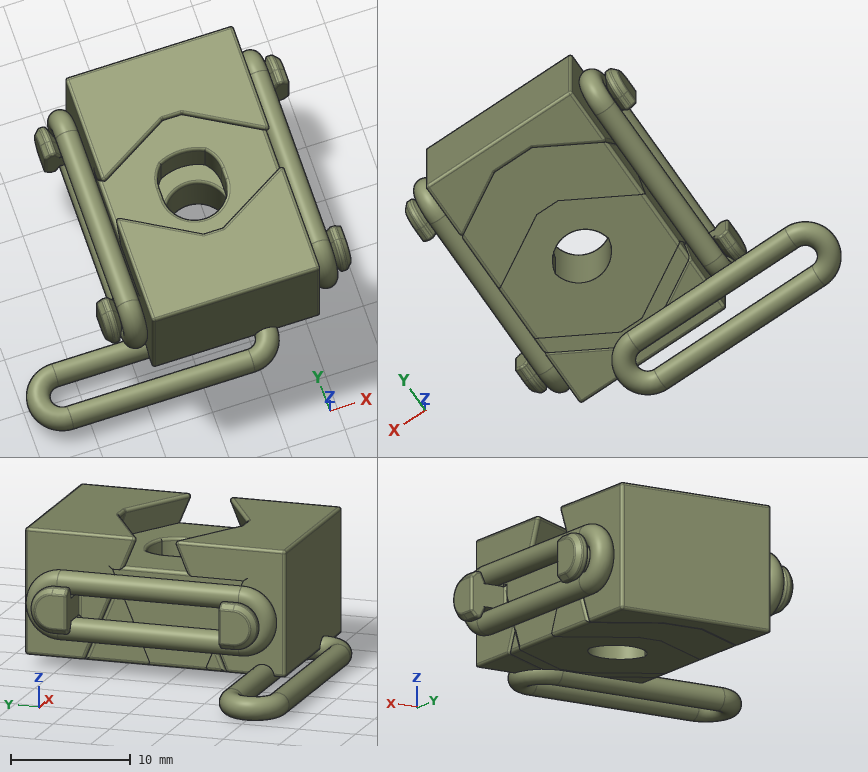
import cadquery as cq
import math

block_length = 14.8
block_width = 23.0
block_height = 11.0
edge_radius = 0.25

wedge_height = 8.4
wedge_half_width = 9.27
wedge_tip_half = 1.9
wedge_end_margin = 5.0
flank_angle = 30.0
draft_angle = 20.0
wedge_edge_radius = 0.3
inverted_shift = -2.0

slot_radius = 2.75
slot_stretch = 1.0
slot_offset = 0.085
slot_rim_radius = 0.25
recess_radius = 4.48
recess_depth = 3.4

wire_radius = 1.0
ring_length = 22.0
ring_width = 6.0
ring_height = 4.9

hook_reach = 3.4
hook_radius = 2.0
hook_neck_radius = ring_width / 2 - 2 * wire_radius
hook_flat = 1.3
hook_chamfer = 0.5
hook_rim = 0.5
hook_cone = 0.5
hook_edge_radius = 0.2

half_length = block_length / 2
half_width = block_width / 2
ring_arc_radius = ring_width / 2 - wire_radius
ring_arc_offset = (ring_length - ring_width) / 2


def drafted_hexagon(height):
    """Hexagonal prism, widest at Z = 0, with its ends beyond the block's end faces."""
    end_x = half_length + wedge_end_margin
    end_y = wedge_half_width - (end_x - wedge_tip_half) * math.tan(math.radians(flank_angle))
    outline = [
        (end_x, -end_y),
        (end_x, end_y),
        (wedge_tip_half, wedge_half_width),
        (-wedge_tip_half, wedge_half_width),
        (-end_x, end_y),
        (-end_x, -end_y),
        (-wedge_tip_half, -wedge_half_width),
        (wedge_tip_half, -wedge_half_width),
    ]
    return cq.Workplane("XY").polyline(outline).close().extrude(height, taper=draft_angle)


def slot(radius, shift, bottom, top):
    """Upright slot, stretched along Y."""
    return (
        cq.Workplane("XY")
        .workplane(offset=bottom)
        .center(0, shift)
        .slot2D(2 * radius + slot_stretch, 2 * radius, 90)
        .extrude(top - bottom)
    )


def round_rim(passage, radius, shift, rim_height):
    """Flare a slot-shaped passage where it opens into the wider space above rim_height."""
    reach = radius + slot_rim_radius
    rim = cq.selectors.BoxSelector(
        (-reach, shift - reach, rim_height - slot_rim_radius),
        (reach, shift + reach, rim_height + slot_rim_radius),
    )
    return passage.edges("|Y or %CIRCLE").edges(rim).fillet(slot_rim_radius)


def open_slot(radius, shift, bottom):
    """Slot with a rounded rim, together with the open space above the wedges."""
    open_space = cq.Workplane("XY", origin=(0, 0, wedge_height)).box(
        block_length, block_width, block_height, centered=(True, True, False)
    )
    passage = slot(radius, shift, bottom, wedge_height).union(open_space)
    return round_rim(passage, radius, shift, wedge_height)


def stepped_slot():
    """Slot of the inverted wedge, with a wider recess at its top."""
    floor_height = wedge_height - recess_depth
    lower_shift = inverted_shift + slot_offset
    recess = open_slot(recess_radius, inverted_shift, floor_height)
    passage = slot(slot_radius, lower_shift, 0, floor_height).union(recess)
    return round_rim(passage, slot_radius, lower_shift, floor_height)


def make_wedge():
    """Solid wedge with flat, rounded ends, narrow side up."""
    ends = cq.Workplane("XY").box(block_length, block_width, wedge_height, centered=(True, True, False))
    return drafted_hexagon(wedge_height).intersect(ends).faces("<X or >X").edges().fillet(wedge_edge_radius)


def make_ring():
    """Stretched ring lying flat, long along X, centred on the origin."""
    path = cq.Workplane("XY").slot2D(2 * (ring_arc_offset + ring_arc_radius), 2 * ring_arc_radius)
    start = (0, ring_arc_radius, 0)
    return cq.Workplane("YZ", origin=start).circle(wire_radius).sweep(path)


def hook_profile():
    """Upper half of the hook's long section, from just inside its jaw to its tip."""
    rim_end = hook_reach - hook_chamfer
    rim_start = rim_end - hook_rim
    cone_start = rim_start - hook_cone
    return (
        cq.Workplane("XZ")
        .moveTo(-edge_radius, 0)
        .lineTo(-edge_radius, hook_neck_radius)
        .lineTo(cone_start, hook_neck_radius)
        .lineTo(rim_start, hook_radius)
        .lineTo(rim_end, hook_radius)
        .lineTo(hook_reach, hook_radius - hook_chamfer)
        .lineTo(hook_reach, 0)
        .close()
    )


def make_hook():
    """Hook pointing along +X from its jaw face at X = 0: half-round towards +Y, flat towards -Y."""
    rounded = hook_profile().revolve(180, (0, 0, 0), (-1, 0, 0))
    upper = hook_profile().extrude(hook_flat)
    hook = rounded.union(upper).union(upper.mirror("XY")).clean()
    cone_middle = hook_reach - hook_chamfer - hook_rim - hook_cone / 2
    head = cq.selectors.BoxSelector(
        (cone_middle, -2 * hook_radius, -2 * hook_radius),
        (2 * hook_reach, 2 * hook_radius, 2 * hook_radius),
    )
    round_edges = hook.edges("%CIRCLE").edges(head)
    flat_edges = hook.faces("<Y").edges(head)
    return round_edges.add(flat_edges).fillet(hook_edge_radius)


def make_jaws():
    """The two halves of the block on either side of the wedges, as [-Y jaw, +Y jaw]."""
    block = cq.Workplane("XY").box(block_length, block_width, block_height, centered=(True, True, False))
    right_hook = make_hook().translate((half_length, ring_arc_offset, ring_height))
    left_hook = right_hook.mirror("YZ")
    halves = block.cut(drafted_hexagon(block_height)).solids(">Y")
    back_jaw = cq.Workplane(obj=halves.val()).edges().fillet(edge_radius)
    back_jaw = back_jaw.union(right_hook).union(left_hook)
    low_y, high_y = ring_arc_offset - hook_radius, ring_arc_offset + hook_radius
    low_z, high_z = ring_height - hook_radius, ring_height + hook_radius
    for side in (-1, 1):
        inner_x = side * (half_length - edge_radius / 2)
        outer_x = side * (half_length + edge_radius / 2)
        neck_foot = cq.selectors.BoxSelector((inner_x, low_y, low_z), (outer_x, high_y, high_z))
        back_jaw = back_jaw.edges(neck_foot).fillet(hook_edge_radius)
    return [back_jaw.mirror("XZ"), back_jaw]


wedge = make_wedge()

inverted_wedge = wedge.rotate((0, 0, 0), (1, 0, 0), 180).translate((0, inverted_shift, wedge_height))
upright_slot = open_slot(slot_radius, slot_offset, 0)
inverted_wedge = inverted_wedge.cut(upright_slot.intersect(stepped_slot()))

ring = make_ring()
standing_ring = ring.rotate((0, 0, 0), (1, 0, 0), 90).rotate((0, 0, 0), (0, 0, 1), 90)
side_rings = [
    standing_ring.translate((side * (half_length + wire_radius), 0, ring_height)) for side in (-1, 1)
]
corner_ring = ring.translate((-half_length, -half_width, 0))

flanks = wedge.cut(upright_slot).cut(inverted_wedge).cut(corner_ring)

jaws = [jaw.cut(inverted_wedge).cut(corner_ring) for jaw in make_jaws()]

result = cq.Compound.makeCompound(
    [jaw.solids().val() for jaw in jaws]
    + [inverted_wedge.solids().val(), *flanks.solids().vals()]
    + [side_ring.val() for side_ring in side_rings]
    + [corner_ring.val()]
)